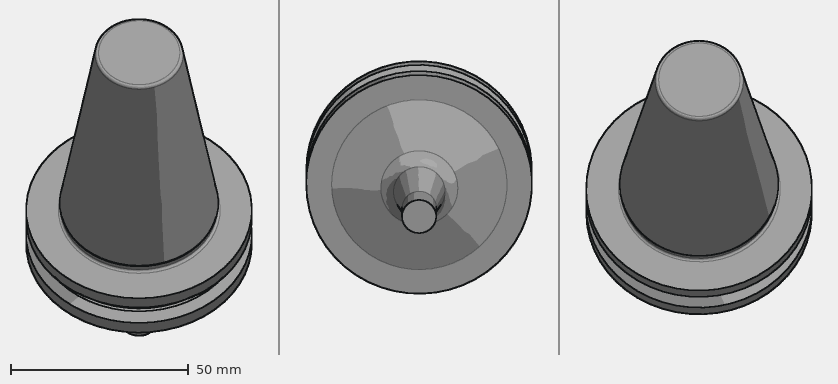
import cadquery as cq
import math

total_height = 123.3
taper_base_z = 54.5
collar_top_z = 53.7
flange_top_z = 51.6
groove_top_z = 47.5
groove_floor_top_z = 45.9
groove_floor_bottom_z = 42.2
groove_bottom_z = 40.4
flange_bottom_z = 36.0
shank_top_z = 10.0

flange_radius = 63.5 / 2
groove_radius = 56.0 / 2
groove_wall_radius = 29.0
collar_radius = 44.0 / 2
taper_base_radius = 22.3
shank_radius = 9.6 / 2
hub_radius = 24.7

taper_slope = 7 / 24 / 2
taper_top_radius = taper_base_radius - taper_slope * (total_height - taper_base_z)
top_rounding = 1.0

hub_angle = 15.5
nose_half_angle = 7.7
hub_slope = math.tan(math.radians(hub_angle))
nose_slope = math.tan(math.radians(nose_half_angle))
corner_radius = (
    shank_radius + nose_slope * (flange_bottom_z - hub_slope * hub_radius - shank_top_z)
) / (1 - nose_slope * hub_slope)
corner_z = flange_bottom_z - hub_slope * (hub_radius - corner_radius)
corner_fillet = 4.9
collar_fillet = 0.7

profile = [
    (0, 0),
    (shank_radius, 0),
    (shank_radius, shank_top_z),
    (corner_radius, corner_z),
    (hub_radius, flange_bottom_z),
    (flange_radius, flange_bottom_z),
    (flange_radius, groove_bottom_z),
    (groove_wall_radius, groove_floor_bottom_z),
    (groove_radius, groove_floor_bottom_z),
    (groove_radius, groove_floor_top_z),
    (groove_wall_radius, groove_floor_top_z),
    (flange_radius, groove_top_z),
    (flange_radius, flange_top_z),
    (collar_radius, flange_top_z),
    (collar_radius, collar_top_z),
    (taper_base_radius, taper_base_z),
    (taper_top_radius, total_height),
    (0, total_height),
]
holder = cq.Workplane("XZ").polyline(profile).close().revolve(360, (0, 0, 0), (0, 1, 0))



def round_corner(body, radius, height, fillet):
    """Fillet the circular edge of the given radius and height."""
    margin = 0.1
    box = cq.selectors.BoxSelector(
        (-radius - margin, -radius - margin, height - margin),
        (radius + margin, radius + margin, height + margin),
        boundingbox=True,
    )
    return body.edges(box).edges("%CIRCLE").fillet(fillet)


holder = round_corner(holder, corner_radius, corner_z, corner_fillet)
holder = round_corner(holder, collar_radius, flange_top_z, collar_fillet)
result = round_corner(holder, taper_top_radius, total_height, top_rounding)